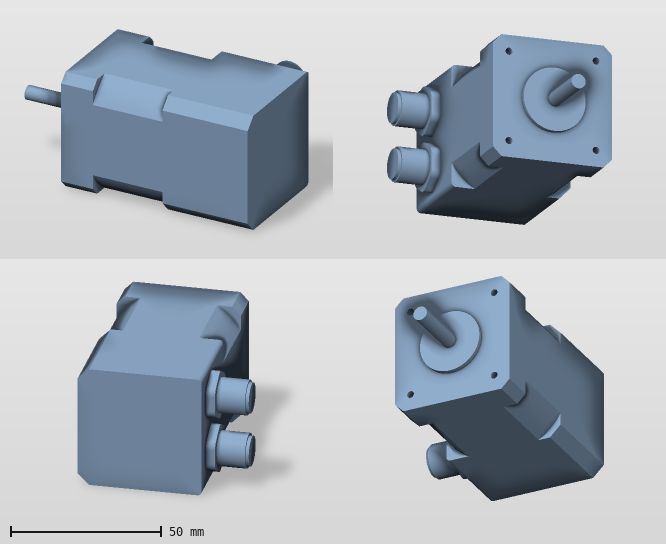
import cadquery as cq
import math

total_length = 94.4
shaft_length = 22.0
pilot_height = 2.0
flange_length = 12.0
waist_length = 26.2

body_size = 42.3
front_chamfer = 3.0
rear_chamfer = 4.0
rear_fillet_radius = 1.5
waist_diameter = 49.7
shaft_diameter = 5.0
pilot_diameter = 22.0

hole_diameter = 2.5
hole_spacing = 31.0

connector_height = 14.0
connector_spacing = 19.4
connector_from_rear = 14.1
nut_width = 15.5
nut_corner_radius = 3.1
nut_height = 3.1
barrel_diameter = 12.0
rim_diameter = 10.4
rim_height = 1.1

flange_start = shaft_length + pilot_height
waist_start = flange_start + flange_length
rear_start = waist_start + waist_length
rear_length = total_length - rear_start
half_body = body_size / 2
connector_x = total_length - connector_from_rear


def section_plane(x):
    """Plane across the motor axis: local X is +Y, local Y is +Z, normal is +X."""
    return cq.Workplane("YZ", origin=(x, 0, 0))


def square_bar(x, length):
    return section_plane(x).rect(body_size, body_size).extrude(length)


def make_flange():
    flange = square_bar(flange_start, flange_length).edges("|X").chamfer(front_chamfer)
    holes = (
        section_plane(flange_start)
        .rect(hole_spacing, hole_spacing, forConstruction=True)
        .vertices()
        .circle(hole_diameter / 2)
        .extrude(flange_length)
    )
    return flange.cut(holes)


def make_waist():
    round_bar = section_plane(waist_start).circle(waist_diameter / 2).extrude(waist_length)
    return square_bar(waist_start, waist_length).intersect(round_bar)


def make_rear_block():
    block = square_bar(rear_start, rear_length)
    block = block.edges("|X and <Y").chamfer(rear_chamfer)
    return block.edges("|X and >Y").fillet(rear_fillet_radius)


def make_shaft_and_pilot():
    shaft = section_plane(0).circle(shaft_diameter / 2).extrude(flange_start)
    pilot = section_plane(shaft_length).circle(pilot_diameter / 2).extrude(pilot_height)
    return shaft.union(pilot)


def make_connector(z):
    """Rounded hex nut, barrel and end rim, standing on the +Y face."""
    base = cq.Workplane(cq.Plane((connector_x, half_body, z), xDir=(0, 0, 1), normal=(0, 1, 0)))
    nut_across_corners = nut_width / math.cos(math.pi / 6)
    nut = base.polygon(6, nut_across_corners).extrude(nut_height)
    nut = nut.edges("|Y").fillet(nut_corner_radius)
    barrel = base.circle(barrel_diameter / 2).extrude(connector_height - rim_height)
    rim = base.circle(rim_diameter / 2).extrude(connector_height)
    return nut.union(barrel).union(rim)


result = make_flange().union(make_waist()).union(make_rear_block()).union(make_shaft_and_pilot())
for side in (-1, 1):
    result = result.union(make_connector(side * connector_spacing / 2))